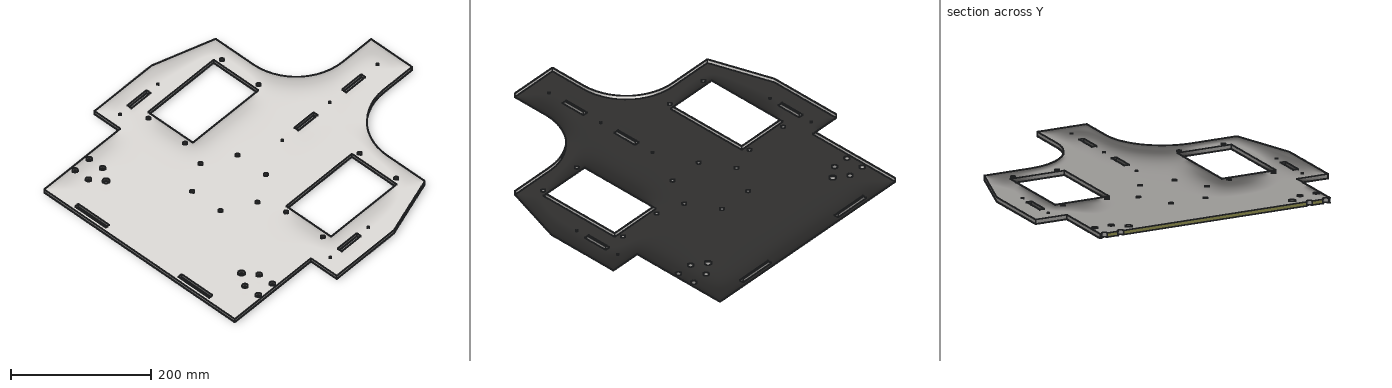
import cadquery as cq
import math

THICKNESS = 7.0
LENGTH = 530.0
HALF_WIDTH = 470.0 / 2
REAR_HALF_WIDTH = 185.0
REAR_LENGTH = 160.0
SIDE_TOP_Y = 280.0
SHOULDER_Y = 380.0
SHOULDER_HALF_WIDTH = 203.0
NECK_HALF_WIDTH = 40.0
NECK_FILLET = 90.0

WINDOW_X = 134.0
WINDOW_Y = 279.5
WINDOW_WIDTH = 87.0
WINDOW_LENGTH = 138.0
WINDOW_SCREW_X = 133.5
WINDOW_SCREW_Y = 279.5
WINDOW_SCREW_SPAN_X = 71.0
WINDOW_SCREW_SPAN_Y = 154.0
SCREW_DIAMETER = 6.5

RING_Y = 188.0
RING_RADIUS = 55.0
RING_COUNT = 6

SLOT_WIDTH = 8.0
SLOT_LENGTH = 40.5
PIN_DIAMETER = 3.0
NECK_PIN_Y = 400.0
NECK_PIN_PITCH = 100.0
SIDE_SLOT_X = 204.0
SIDE_SLOT_Y = 220.0
SIDE_PIN_OFFSET = 40.0

REAR_SLOT_X = 100.0
REAR_SLOT_Y = 9.0
REAR_SLOT_WIDTH = 60.0
REAR_SLOT_LENGTH = 7.0

MOUNT_X = 165.0
MOUNT_Y = 72.0
MOUNT_SPAN_X = 26.0
MOUNT_SPAN_Y = 29.5
MOUNT_BOLT_DIAMETER = 8.5
MOUNT_PIVOT_X = 131.5
MOUNT_PIVOT_DIAMETER = 10.0


def make_plate():
    """Full-width plate with concave arcs leading from the shoulders into the neck."""
    arc_x = NECK_HALF_WIDTH + NECK_FILLET
    arc_y = SHOULDER_Y + NECK_FILLET
    arc_reach = NECK_FILLET * math.sqrt(0.5)
    half = (
        cq.Workplane("XY")
        .lineTo(REAR_HALF_WIDTH, 0)
        .lineTo(REAR_HALF_WIDTH, REAR_LENGTH)
        .lineTo(HALF_WIDTH, REAR_LENGTH)
        .lineTo(HALF_WIDTH, SIDE_TOP_Y)
        .lineTo(SHOULDER_HALF_WIDTH, SHOULDER_Y)
        .lineTo(arc_x, SHOULDER_Y)
        .threePointArc((arc_x - arc_reach, arc_y - arc_reach), (NECK_HALF_WIDTH, arc_y))
        .lineTo(NECK_HALF_WIDTH, LENGTH)
        .lineTo(0, LENGTH)
    )
    return half.mirrorY().extrude(THICKNESS)


def mirrored(points):
    """The given points, then their mirror images across X = 0."""
    return points + [(-x, y) for x, y in points]


def corners(x, y, span_x, span_y):
    """Corners of a rectangle centred on (x, y)."""
    return [(x + i * span_x / 2, y + j * span_y / 2) for i in (-1, 1) for j in (-1, 1)]


def cut_holes(plate, points, diameter):
    """Round holes right through the plate."""
    cutter = cq.Workplane("XY").pushPoints(points).circle(diameter / 2).extrude(THICKNESS)
    return plate.cut(cutter)


def cut_rectangles(plate, points, width, length):
    """Rectangular openings right through the plate, width along X and length along Y."""
    cutter = cq.Workplane("XY").pushPoints(points).rect(width, length).extrude(THICKNESS)
    return plate.cut(cutter)


def cut_windows(plate):
    screws = corners(WINDOW_SCREW_X, WINDOW_SCREW_Y, WINDOW_SCREW_SPAN_X, WINDOW_SCREW_SPAN_Y)
    plate = cut_rectangles(plate, mirrored([(WINDOW_X, WINDOW_Y)]), WINDOW_WIDTH, WINDOW_LENGTH)
    return cut_holes(plate, mirrored(screws), SCREW_DIAMETER)


def cut_screw_ring(plate):
    angles = [2 * math.pi * i / RING_COUNT for i in range(RING_COUNT)]
    points = [(RING_RADIUS * math.cos(a), RING_Y + RING_RADIUS * math.sin(a)) for a in angles]
    return cut_holes(plate, points, SCREW_DIAMETER)


def cut_neck_slots(plate):
    """Three pin holes along the centreline with a slot midway between neighbours."""
    pins = [(0, NECK_PIN_Y + i * NECK_PIN_PITCH) for i in (-1, 0, 1)]
    slots = [(0, NECK_PIN_Y + i * NECK_PIN_PITCH / 2) for i in (-1, 1)]
    plate = cut_rectangles(plate, slots, SLOT_WIDTH, SLOT_LENGTH)
    return cut_holes(plate, pins, PIN_DIAMETER)


def cut_side_slots(plate):
    pins = [(SIDE_SLOT_X, SIDE_SLOT_Y + i * SIDE_PIN_OFFSET) for i in (-1, 1)]
    slots = [(SIDE_SLOT_X, SIDE_SLOT_Y)]
    plate = cut_rectangles(plate, mirrored(slots), SLOT_WIDTH, SLOT_LENGTH)
    return cut_holes(plate, mirrored(pins), PIN_DIAMETER)


def cut_rear_slots(plate):
    slots = mirrored([(REAR_SLOT_X, REAR_SLOT_Y)])
    return cut_rectangles(plate, slots, REAR_SLOT_WIDTH, REAR_SLOT_LENGTH)


def cut_wheel_mounts(plate):
    bolts = corners(MOUNT_X, MOUNT_Y, MOUNT_SPAN_X, MOUNT_SPAN_Y)
    plate = cut_holes(plate, mirrored(bolts), MOUNT_BOLT_DIAMETER)
    return cut_holes(plate, mirrored([(MOUNT_PIVOT_X, MOUNT_Y)]), MOUNT_PIVOT_DIAMETER)


result = make_plate()
result = cut_windows(result)
result = cut_screw_ring(result)
result = cut_neck_slots(result)
result = cut_side_slots(result)
result = cut_rear_slots(result)
result = cut_wheel_mounts(result)